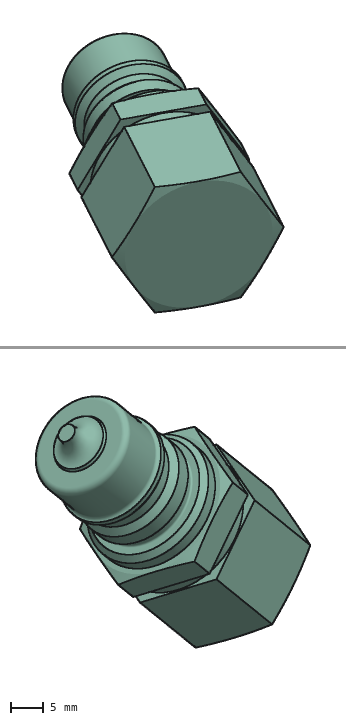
import cadquery as cq
import math

POPPET_TIP_LENGTH = 0.5
POPPET_RIM_X = 3.5
NOSE_X = 4.0
COLLAR_X = 13.0
COLLAR_END_X = 14.0
LOCK_GROOVE_X = 15.1
LOCK_GROOVE_END_X = 17.1
LAND_X = 18.3
NECK_X = 21.0
SHOULDER_X = 23.0
HEX_X = 26.0
HEX_GROOVE_X = 31.0
HEX_GROOVE_END_X = 33.0
TOTAL_LENGTH = 50.0

POPPET_TIP_RADIUS = 1.5
POPPET_SEAT_RADIUS = 4.75
BODY_RADIUS = 8.5
LAND_RADIUS = 9.15
LOCK_GROOVE_RADIUS = 8.05
SHOULDER_RADIUS = 11.0
HEX_GROOVE_RADIUS = 11.8

NOSE_FILLET = 1.0
NECK_FILLET = 0.3
SHOULDER_CHAMFER = 1.0

HEX_ACROSS_FLATS = 24.0
HEX_CORNER_RADIUS = HEX_ACROSS_FLATS / math.sqrt(3)
HEX_FACE_RADIUS = 11.9
HEX_CHAMFER_ANGLE = 15.0


def fillet_midpoint(center_x, center_r, radius, toward_x, toward_r):
    """Middle of a quarter arc; toward_x and toward_r are +1 or -1."""
    reach = radius * math.sqrt(0.5)
    return (center_x + toward_x * reach, center_r + toward_r * reach)


def turned_body():
    """Revolve the stepped plug profile, from poppet tip to the rear face, about X."""
    flare = POPPET_RIM_X - POPPET_TIP_LENGTH
    poppet_rim_radius = POPPET_TIP_RADIUS + flare
    collar_fillet = LAND_RADIUS - BODY_RADIUS
    nose_shoulder_x = NOSE_X + NOSE_FILLET
    nose_flat_radius = BODY_RADIUS - NOSE_FILLET
    neck_corner_radius = BODY_RADIUS + NECK_FILLET
    neck_start_x = NECK_X + NECK_FILLET
    neck_end_x = SHOULDER_X - NECK_FILLET
    collar_fillet_x = COLLAR_X - collar_fillet

    profile = (
        cq.Workplane("XY")
        .moveTo(0, 0)
        .lineTo(0, POPPET_TIP_RADIUS)
        .lineTo(POPPET_TIP_LENGTH, POPPET_TIP_RADIUS)
        .threePointArc(
            fillet_midpoint(POPPET_TIP_LENGTH, poppet_rim_radius, flare, 1, -1),
            (POPPET_RIM_X, poppet_rim_radius),
        )
        .lineTo(NOSE_X, POPPET_SEAT_RADIUS)
        .lineTo(NOSE_X, nose_flat_radius)
        .threePointArc(
            fillet_midpoint(nose_shoulder_x, nose_flat_radius, NOSE_FILLET, -1, 1),
            (nose_shoulder_x, BODY_RADIUS),
        )
        .lineTo(collar_fillet_x, BODY_RADIUS)
        .threePointArc(
            fillet_midpoint(collar_fillet_x, LAND_RADIUS, collar_fillet, 1, -1),
            (COLLAR_X, LAND_RADIUS),
        )
        .lineTo(COLLAR_END_X, LAND_RADIUS)
        .lineTo(LOCK_GROOVE_X, LOCK_GROOVE_RADIUS)
        .lineTo(LOCK_GROOVE_END_X, LOCK_GROOVE_RADIUS)
        .lineTo(LAND_X, LAND_RADIUS)
        .lineTo(NECK_X, LAND_RADIUS)
        .lineTo(NECK_X, neck_corner_radius)
        .threePointArc(
            fillet_midpoint(neck_start_x, neck_corner_radius, NECK_FILLET, -1, -1),
            (neck_start_x, BODY_RADIUS),
        )
        .lineTo(neck_end_x, BODY_RADIUS)
        .threePointArc(
            fillet_midpoint(neck_end_x, neck_corner_radius, NECK_FILLET, 1, -1),
            (SHOULDER_X, neck_corner_radius),
        )
        .lineTo(SHOULDER_X, SHOULDER_RADIUS - SHOULDER_CHAMFER)
        .lineTo(SHOULDER_X + SHOULDER_CHAMFER, SHOULDER_RADIUS)
        .lineTo(HEX_X, SHOULDER_RADIUS)
        .lineTo(HEX_X, HEX_GROOVE_RADIUS)
        .lineTo(TOTAL_LENGTH, HEX_GROOVE_RADIUS)
        .lineTo(TOTAL_LENGTH, 0)
        .close()
    )
    return profile.revolve(360, (0, 0, 0), (1, 0, 0))


def hex_prism(start_x, end_x):
    """Hexagonal prism along X with its corners on the Y axis."""
    return (
        cq.Workplane("YZ", origin=(start_x, 0, 0))
        .polygon(6, 2 * HEX_CORNER_RADIUS)
        .extrude(end_x - start_x)
    )


def corner_chamfer_envelope():
    """Turned blank whose conical ends bevel the outer corners of the hexagons."""
    chamfer_depth = (HEX_CORNER_RADIUS - HEX_FACE_RADIUS) * math.tan(math.radians(HEX_CHAMFER_ANGLE))
    return (
        cq.Workplane("XY")
        .moveTo(HEX_X, 0)
        .lineTo(HEX_X, HEX_FACE_RADIUS)
        .lineTo(HEX_X + chamfer_depth, HEX_CORNER_RADIUS)
        .lineTo(TOTAL_LENGTH - chamfer_depth, HEX_CORNER_RADIUS)
        .lineTo(TOTAL_LENGTH, HEX_FACE_RADIUS)
        .lineTo(TOTAL_LENGTH, 0)
        .close()
        .revolve(360, (0, 0, 0), (1, 0, 0))
    )


def hexagons():
    """Front and rear hexagons, bevelled on their outer ends only."""
    front = hex_prism(HEX_X, HEX_GROOVE_X)
    rear = hex_prism(HEX_GROOVE_END_X, TOTAL_LENGTH)
    return front.union(rear).intersect(corner_chamfer_envelope())


result = turned_body().union(hexagons())